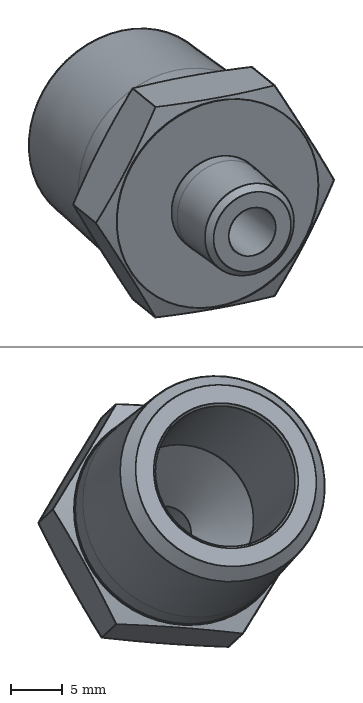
import cadquery as cq
import math


length = 30.0
large_taper_end = 13.2
hex_start = 15.8
hex_end = 22.2
small_taper_start = 23.45

taper_slope = 1 / 32
large_diameter = 21.27
large_chamfer = 1.2
small_diameter = 9.87
small_chamfer = 0.63

hex_corners = 25.4
hex_chamfer_angle = 15.0
hex_face_diameter = 21.5
hex_lip = 0.1

through_diameter = 5.0
bore_diameter = 14.0
bore_chamfer = 0.25
bore_depth = 15.0
bore_cone_angle = 72.0


def revolve_about_x(points):
    """Solid of revolution about X from an (x, radius) outline that closes along the axis."""
    return cq.Workplane("XY").polyline(points).close().revolve(360, (0, 0, 0), (1, 0, 0))


def make_ends():
    """Both male ends as one turned body."""
    large_radius = large_diameter / 2
    large_tip_radius = large_radius - (large_taper_end - large_chamfer) * taper_slope
    small_radius = small_diameter / 2
    small_taper_end = length - small_chamfer
    small_tip_radius = small_radius - (small_taper_end - small_taper_start) * taper_slope
    return revolve_about_x([
        (0, 0),
        (0, large_tip_radius - large_chamfer),
        (large_chamfer, large_tip_radius),
        (large_taper_end, large_radius),
        (hex_start, large_radius),
        (hex_start, small_radius),
        (small_taper_start, small_radius),
        (small_taper_end, small_tip_radius),
        (length, small_tip_radius - small_chamfer),
        (length, 0),
    ])


def make_hexagon():
    """Hexagon with corners on +Y and -Y, turned conically down to a thin round lip at each face."""
    face_radius = hex_face_diameter / 2
    corner_radius = hex_corners / 2
    cone_length = (corner_radius - face_radius) * math.tan(math.radians(hex_chamfer_angle))
    prism = (
        cq.Workplane("YZ", origin=(hex_start, 0, 0))
        .polygon(6, hex_corners)
        .extrude(hex_end - hex_start)
    )
    envelope = revolve_about_x([
        (hex_start, 0),
        (hex_start, face_radius),
        (hex_start + hex_lip, face_radius),
        (hex_start + hex_lip + cone_length, corner_radius),
        (hex_end - hex_lip - cone_length, corner_radius),
        (hex_end - hex_lip, face_radius),
        (hex_end, face_radius),
        (hex_end, 0),
    ])
    return prism.intersect(envelope)


def make_bores():
    """Through hole and the wide bore with its chamfered mouth and conical bottom."""
    through_radius = through_diameter / 2
    bore_radius = bore_diameter / 2
    cone_length = (bore_radius - through_radius) / math.tan(math.radians(bore_cone_angle / 2))
    return revolve_about_x([
        (0, 0),
        (0, bore_radius + bore_chamfer),
        (bore_chamfer, bore_radius),
        (bore_depth, bore_radius),
        (bore_depth + cone_length, through_radius),
        (length, through_radius),
        (length, 0),
    ])


result = make_ends().union(make_hexagon()).cut(make_bores())